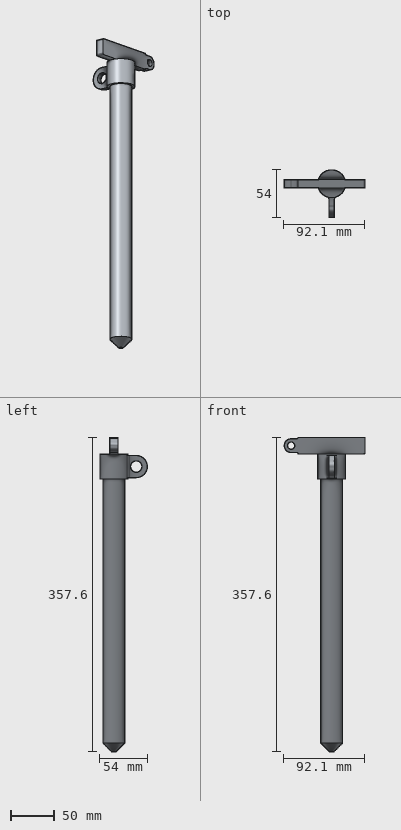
import cadquery as cq
import math

shaft_diameter = 25.0
shaft_length = 310.0
tip_diameter = 5.0
point_length = (shaft_diameter - tip_diameter) / 2

collar_diameter = 31.75
collar_height = 28.575
collar_top = shaft_length + collar_height
collar_radius = collar_diameter / 2

bar_height = 19.05
bar_thickness = 9.525
bar_half_length = 38.1
bar_eye_diameter = 15.875
bar_hole_diameter = 7.9375
bar_corner_fillet = 1.5875
bar_step_fillet = 1.5
bar_tip_reach = 53.975
bar_center_z = collar_top + bar_height / 2
bar_eye_x = bar_eye_diameter / 2 - bar_tip_reach

lug_thickness = 6.35
lug_height = 25.4
lug_hole_diameter = 12.7
lug_hole_reach = 25.4
lug_root_fillet = 3.175
lug_radius = lug_height / 2
lug_center_z = shaft_length + collar_height / 2


def make_shaft():
    """Round shaft with its lower end cut to a truncated cone."""
    return (
        cq.Workplane("XY")
        .circle(shaft_diameter / 2)
        .extrude(shaft_length)
        .faces("<Z")
        .chamfer(point_length)
    )


def make_collar():
    """Larger cylinder standing on the shaft."""
    return cq.Workplane("XY").workplane(offset=shaft_length).circle(collar_radius).extrude(collar_height)


def make_crossbar():
    """Rectangular bar with a narrower, rounded and drilled eye at its -X end."""
    bar = cq.Workplane("XY").box(2 * bar_half_length, bar_thickness, bar_height)
    bar = bar.edges("|Y and >X").fillet(bar_corner_fillet)

    neck = cq.Workplane("XY").box(-bar_eye_x, bar_thickness, bar_eye_diameter)
    bar = bar.union(neck.translate((bar_eye_x / 2, 0, 0)))

    for side in (1, -1):
        inner_corner = (-bar_half_length, 0, side * bar_eye_diameter / 2)
        bar = bar.edges(cq.selectors.NearestToPointSelector(inner_corner)).fillet(bar_step_fillet)

    eye_plane = cq.Workplane("XZ", origin=(bar_eye_x, bar_thickness / 2, 0))
    eye = eye_plane.circle(bar_eye_diameter / 2).extrude(bar_thickness)
    hole = eye_plane.circle(bar_hole_diameter / 2).extrude(bar_thickness)
    return bar.union(eye).cut(hole).translate((0, 0, bar_center_z))


def make_lug_plate():
    """Drilled plate with a round outer end, starting at the collar axis."""
    side_plane = cq.Workplane("YZ", origin=(-lug_thickness / 2, 0, lug_center_z))
    plate = (
        side_plane
        .moveTo(0, lug_radius)
        .lineTo(-lug_hole_reach, lug_radius)
        .threePointArc((-lug_hole_reach - lug_radius, 0), (-lug_hole_reach, -lug_radius))
        .lineTo(0, -lug_radius)
        .close()
        .extrude(lug_thickness)
    )
    hole = side_plane.center(-lug_hole_reach, 0).circle(lug_hole_diameter / 2).extrude(lug_thickness)
    return plate.cut(hole)


def make_lug_root():
    """Concave fillets that blend both lug faces into the collar."""
    half_thickness = lug_thickness / 2
    fillet_x = half_thickness + lug_root_fillet
    center_distance = collar_radius + lug_root_fillet
    fillet_y = -math.sqrt(center_distance**2 - fillet_x**2)
    collar_x = fillet_x * collar_radius / center_distance
    collar_y = fillet_y * collar_radius / center_distance

    mid_angle = (math.pi + math.atan2(-fillet_y, -fillet_x)) / 2
    mid_x = fillet_x + lug_root_fillet * math.cos(mid_angle)
    mid_y = fillet_y + lug_root_fillet * math.sin(mid_angle)

    return (
        cq.Workplane("XY", origin=(0, 0, lug_center_z - lug_radius))
        .lineTo(collar_x, collar_y)
        .threePointArc((mid_x, mid_y), (half_thickness, fillet_y))
        .lineTo(-half_thickness, fillet_y)
        .threePointArc((-mid_x, mid_y), (-collar_x, collar_y))
        .close()
        .extrude(lug_height)
    )


result = (
    make_shaft()
    .union(make_collar())
    .union(make_crossbar())
    .union(make_lug_plate())
    .union(make_lug_root())
)